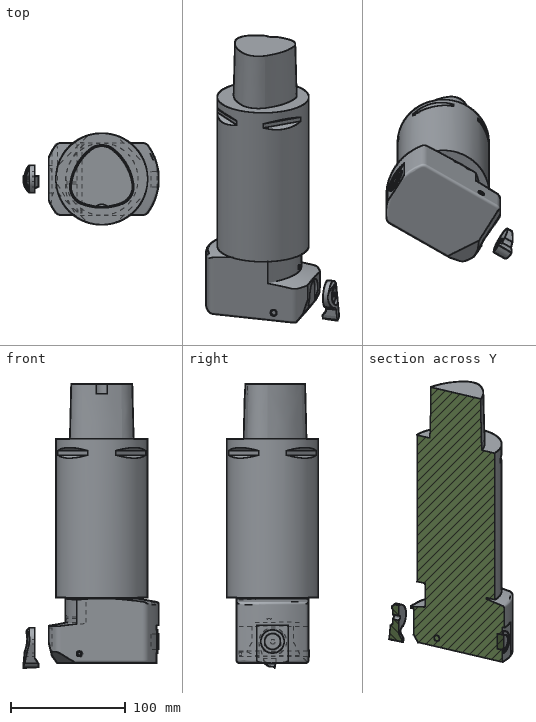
import cadquery as cq
import math


BARREL_DIAMETER = 80.0
BARREL_BOTTOM = 57.0
BARREL_TOP = 195.5
GROOVE_COUNT = 4
GROOVE_Z = 183.3
GROOVE_DEPTH = 4.5
GROOVE_FLOOR_HEIGHT = 3.7
GROOVE_MOUTH_HEIGHT = 9.2

SHANK_LENGTH = 48.0
SHANK_LOBE_REACH = 29.8
SHANK_FLANK_REACH = 25.3
SHANK_LOBE_RADIUS = 16.4
SHANK_TAPER = 1 / 40
KEY_NOTCH_DIAMETER = 14.0
KEY_NOTCH_OFFSET = 29.0
KEY_NOTCH_DEPTH = 8.7

HEAD_WIDTH = 63.0
HEAD_RADIUS = 49.8
HEAD_CORNER_RADIUS = 6.2
HEAD_EDGE_RADIUS = 2.5
HEAD_NOSE_X = -46.5
HEAD_RIM_Z = 53.0
LEDGE_RIM_Z = 32.0
TOP_ANGLE = 10
NECK_DIAMETER = HEAD_WIDTH
NECK_FACE_START_X = -21.8
NECK_FACE_X = -32.0
NECK_FACE_Y = -3.5
NECK_FACE_END_X = -14.1
NECK_ROOT_RADIUS = 0.7
SCREW_FLAT_X = 47.9
SCREW_FLAT_TOP = 33.0

NOSE_RELIEF_TOP = 18.0
NOSE_RELIEF_KNEE = (-43.6, 6.7)
NOSE_RELIEF_FOOT_X = -39.0
CORNER_RELIEF_SIDE_X = -22.3
CORNER_RELIEF_END = (-39.0, -4.2)
CORNER_RELIEF_ANGLE = 35

OUTLET_Y = -3.2
OUTLET_Z = 39.7
OUTLET_MOUTH_DIAMETER = 4.0
OUTLET_MOUTH_DEPTH = 1.2
OUTLET_BORE_DIAMETER = 1.5
OUTLET_BORE_DEPTH = 10.0

INSERT_DIAMETER = 24.0
INSERT_Z = 18.8
INSERT_BACK_X = -58.3
INSERT_RIM_X = -63.2
INSERT_TIP_X = -68.7
INSERT_TIP_Z = -4.5
INSERT_CREST_TILT = 5.4
INSERT_CREST_RADIUS = 22.3
INSERT_RIM_CONE_ANGLE = 45
INSERT_HOLE_DIAMETER = 4.0
INSERT_RECESS_DIAMETER = 14.0
INSERT_RECESS_FLOOR_X = -64.7
INSERT_RECESS_HALF_ANGLE = 40
FOOT_BACK_X = -55.0
FOOT_TOP_Z = 4.2
FOOT_HEEL_Z = -0.5
FOOT_BOTTOM_Z = -3.7
LEG_EDGE_Y = 2.7
LEG_BLEND_TOP_ANGLE = -55
LEG_BLEND_MIDDLE = (4.0, 8.0)
LEG_BLEND_FOOT_Z = 6.0
LEG_TOOTH_TOP_Z = 0
LEG_TOOTH_Y = 2.0
LEG_TOOTH_BACK = (1.7, -3.5)
LEG_TOE_START = (-1.5, -3.2)
LEG_TOE_MIDDLE = (-4.5, -2.2)
LEG_TOE_END = (-7.0, 0)
LEG_FLANK_TOP_ANGLE = 195
SEAT_DEPTH = 3.0

CLAMP_FLANGE_DIAMETER = 20.3
CLAMP_FLANGE_HEIGHT = 1.0
CLAMP_CAP_DIAMETER = 14.0
CLAMP_CAP_HEIGHT = 1.7
CLAMP_STEM_LENGTH = 5.0

CROSS_X = -19.5
CROSS_Z = 8.2
CROSS_DIAMETER = 4.7
CROSS_SOCKET_DIAMETER = 2.7
CROSS_SOCKET_DEPTH = 2.5
CROSS_SINK = 2.0
CROSS_HEAD_DIAMETER = 5.7
CROSS_HEAD_HEIGHT = 0.7

BARREL_RADIUS = BARREL_DIAMETER / 2
SHANK_TOP = BARREL_TOP + SHANK_LENGTH
HALF_WIDTH = HEAD_WIDTH / 2
INSERT_RADIUS = INSERT_DIAMETER / 2
TOP_SLOPE = math.tan(math.radians(TOP_ANGLE))
LOBE_CENTRE = SHANK_LOBE_REACH - SHANK_LOBE_RADIUS
FLANK_GAP = SHANK_FLANK_REACH - SHANK_LOBE_RADIUS
FLANK_CENTRE = (LOBE_CENTRE**2 - FLANK_GAP**2) / (2 * FLANK_GAP - LOBE_CENTRE)
CLEAR = 74.5


def x_cylinder(diameter, x_start, length, y=0, z=0):
    """Cylinder along X that starts at x_start and runs towards +X for the given length."""
    plane = cq.Plane(origin=(x_start, y, z), xDir=(0, 1, 0), normal=(1, 0, 0))
    return cq.Workplane(plane).circle(diameter / 2).extrude(length)


def gripper_groove():
    """Trapezoid bar that cuts one groove in the +X side of the barrel."""
    floor_x = BARREL_RADIUS - GROOVE_DEPTH
    half_floor = GROOVE_FLOOR_HEIGHT / 2
    half_mouth = GROOVE_MOUTH_HEIGHT / 2
    section = [
        (floor_x, GROOVE_Z - half_floor),
        (BARREL_RADIUS, GROOVE_Z - half_mouth),
        (BARREL_RADIUS, GROOVE_Z + half_mouth),
        (floor_x, GROOVE_Z + half_floor),
    ]
    return cq.Workplane("XZ").polyline(section).close().extrude(BARREL_RADIUS, both=True)


def make_barrel():
    length = BARREL_TOP - BARREL_BOTTOM
    barrel = cq.Workplane("XY").workplane(offset=BARREL_BOTTOM).circle(BARREL_RADIUS).extrude(length)
    pitch = 360 / GROOVE_COUNT
    for i in range(GROOVE_COUNT):
        barrel = barrel.cut(gripper_groove().rotate((0, 0, 0), (0, 0, 1), pitch * (i + 0.5)))
    return barrel


def polar_point(centre_distance, centre_angle, radius, angle, z):
    """Point on a circle whose centre is given by its distance and angle from the axis."""
    a = math.radians(centre_angle)
    b = math.radians(angle)
    x = centre_distance * math.cos(a) + radius * math.cos(b)
    y = centre_distance * math.sin(a) + radius * math.sin(b)
    return cq.Vector(x, y, z)


def lobed_wire(inset, z):
    """Closed curve of three lobe arcs and three flank arcs, one lobe towards +Y, at a given inset."""
    lobe_side = LOBE_CENTRE * math.sin(math.radians(60))
    lobe_drop = LOBE_CENTRE * math.cos(math.radians(60)) + FLANK_CENTRE
    flank_half_angle = math.degrees(math.atan2(lobe_side, lobe_drop))
    lobe_radius = SHANK_LOBE_RADIUS - inset
    flank_radius = SHANK_FLANK_REACH + FLANK_CENTRE - inset
    edges = []
    for lobe_angle in (90, 210, 330):
        flank_angle = lobe_angle + 60
        lobe_start = lobe_angle - 60 + flank_half_angle
        lobe_end = flank_angle - flank_half_angle
        flank_end = flank_angle + flank_half_angle
        lobe = []
        for angle in (lobe_start, lobe_angle, lobe_end):
            lobe.append(polar_point(LOBE_CENTRE, lobe_angle, lobe_radius, angle, z))
        flank = []
        for angle in (lobe_end, flank_angle, flank_end):
            flank.append(polar_point(FLANK_CENTRE, flank_angle - 180, flank_radius, angle, z))
        edges.append(cq.Edge.makeThreePointArc(*lobe))
        edges.append(cq.Edge.makeThreePointArc(*flank))
    return cq.Wire.assembleEdges(edges)


def make_shank():
    wires = [lobed_wire(0, BARREL_TOP), lobed_wire(SHANK_LENGTH * SHANK_TAPER, SHANK_TOP)]
    shank = cq.Workplane(cq.Solid.makeLoft(wires, True))
    notch = cq.Workplane("XY").workplane(offset=SHANK_TOP - KEY_NOTCH_DEPTH)
    notch = notch.center(0, -KEY_NOTCH_OFFSET).circle(KEY_NOTCH_DIAMETER / 2).extrude(KEY_NOTCH_DEPTH)
    return shank.cut(notch)


def above_ledge():
    """Everything over the conical ledge, up to the barrel."""
    apex_z = LEDGE_RIM_Z + HEAD_RADIUS * TOP_SLOPE
    edge_z = apex_z - CLEAR * TOP_SLOPE
    outline = [(0, apex_z), (CLEAR, edge_z), (CLEAR, BARREL_BOTTOM), (0, BARREL_BOTTOM)]
    return cq.Workplane("XZ").polyline(outline).close().revolve(360, (0, 0, 0), (0, 1, 0))


def above_head():
    """Everything over the conical top of the head and its rounded rim."""
    angle = math.radians(TOP_ANGLE)
    apex_z = HEAD_RIM_Z + HEAD_RADIUS * TOP_SLOPE
    centre_r = HEAD_RADIUS - HEAD_EDGE_RADIUS
    centre_z = HEAD_RIM_Z + HEAD_EDGE_RADIUS * (TOP_SLOPE - 1 / math.cos(angle))
    half_way = (math.pi / 2 - angle) / 2
    arc_points = []
    for turn in (math.pi / 2 - angle, half_way):
        r = centre_r + HEAD_EDGE_RADIUS * math.cos(turn)
        z = centre_z + HEAD_EDGE_RADIUS * math.sin(turn)
        arc_points.append((r, z))
    return (
        cq.Workplane("XZ")
        .moveTo(0, apex_z)
        .lineTo(*arc_points[0])
        .threePointArc(arc_points[1], (HEAD_RADIUS, centre_z))
        .lineTo(CLEAR, centre_z)
        .lineTo(CLEAR, CLEAR)
        .lineTo(0, CLEAR)
        .close()
        .revolve(360, (0, 0, 0), (0, 1, 0))
    )


def head_block():
    """Round-ended block with a flat nose, rounded corners and a conical top."""
    block = cq.Workplane("XY").circle(HEAD_RADIUS).extrude(BARREL_BOTTOM)
    block = block.intersect(cq.Workplane("XY").box(2 * CLEAR, HEAD_WIDTH, 2 * CLEAR))
    block = block.edges("|Z").fillet(HEAD_CORNER_RADIUS)
    block = block.faces("<Z").edges().fillet(HEAD_EDGE_RADIUS)
    block = block.cut(above_head())
    nose = cq.Workplane("XY").box(CLEAR, 2 * CLEAR, 2 * CLEAR).translate((HEAD_NOSE_X - CLEAR / 2, 0, 0))
    return block.cut(nose)


def ledge_cut():
    """Space above the nose, bounded by the curved neck face and a conical ledge."""
    space = (
        cq.Workplane("XY")
        .moveTo(NECK_FACE_START_X, -HALF_WIDTH)
        .threePointArc((NECK_FACE_X, NECK_FACE_Y), (NECK_FACE_END_X, HALF_WIDTH))
        .lineTo(-CLEAR, HALF_WIDTH)
        .lineTo(-CLEAR, -HALF_WIDTH)
        .close()
        .extrude(BARREL_BOTTOM)
    )
    space = space.intersect(above_ledge())
    neck_face = space.faces(cq.selectors.NearestToPointSelector((NECK_FACE_X, NECK_FACE_Y, BARREL_BOTTOM)))
    return neck_face.edges("<Z").fillet(NECK_ROOT_RADIUS)


def nose_relief():
    """Two sloping faces below the nose, across the whole width."""
    outline = [
        (HEAD_NOSE_X, NOSE_RELIEF_TOP),
        NOSE_RELIEF_KNEE,
        (NOSE_RELIEF_FOOT_X, 0),
        (-CLEAR, 0),
        (-CLEAR, NOSE_RELIEF_TOP),
    ]
    return cq.Workplane("XZ").polyline(outline).close().extrude(CLEAR, both=True)


def corner_relief():
    """Sloping face that rises from the underside towards the -X -Y corner."""
    end_x, end_y = CORNER_RELIEF_END
    along = cq.Vector(end_x - CORNER_RELIEF_SIDE_X, end_y + HALF_WIDTH, 0)
    outward = cq.Vector(-along.y, along.x, 0)
    plane = cq.Plane(origin=(CORNER_RELIEF_SIDE_X, -HALF_WIDTH, 0), xDir=outward, normal=along)
    rise = CLEAR * math.tan(math.radians(CORNER_RELIEF_ANGLE))
    wedge = cq.Workplane(plane).polyline([(0, 0), (CLEAR, 0), (CLEAR, rise)]).close()
    return wedge.extrude(CLEAR, both=True)


def insert_seat():
    """Shallow recess in the nose: a round top that runs straight down on the -Y side."""
    plane = cq.Plane(origin=(HEAD_NOSE_X, 0, 0), xDir=(0, 1, 0), normal=(1, 0, 0))
    round_part = cq.Workplane(plane).center(0, INSERT_Z).circle(INSERT_RADIUS).extrude(SEAT_DEPTH)
    leg_width = INSERT_RADIUS + LEG_EDGE_Y
    leg_part = (
        cq.Workplane(plane)
        .center(LEG_EDGE_Y - leg_width / 2, INSERT_Z / 2)
        .rect(leg_width, INSERT_Z)
        .extrude(SEAT_DEPTH)
    )
    return round_part.union(leg_part)


def coolant_outlet():
    """Small bore with a wider mouth."""
    start = HEAD_NOSE_X
    mouth_length = NECK_FACE_X + OUTLET_MOUTH_DEPTH - start
    mouth = x_cylinder(OUTLET_MOUTH_DIAMETER, start, mouth_length, OUTLET_Y, OUTLET_Z)
    bore = x_cylinder(OUTLET_BORE_DIAMETER, NECK_FACE_X, OUTLET_BORE_DEPTH, OUTLET_Y, OUTLET_Z)
    return mouth.union(bore)


def make_head():
    head = head_block()
    neck = cq.Workplane("XY").workplane(offset=BARREL_BOTTOM).circle(NECK_DIAMETER / 2)
    head = head.union(neck.extrude(SCREW_FLAT_TOP - BARREL_BOTTOM))
    for cut in (ledge_cut(), nose_relief(), corner_relief(), insert_seat(), coolant_outlet()):
        head = head.cut(cut)
    flat = cq.Workplane("XY").box(CLEAR, 2 * CLEAR, SCREW_FLAT_TOP, centered=(False, True, False))
    return head.cut(flat.translate((SCREW_FLAT_X, 0, 0)))


def make_holder():
    holder = make_barrel().union(make_shank()).union(make_head())
    for recess in (clamp_screw(), cross_hole()):
        holder = holder.cut(recess)
    return holder


def clamp_screw():
    flange = x_cylinder(CLAMP_FLANGE_DIAMETER, SCREW_FLAT_X, CLAMP_FLANGE_HEIGHT, z=INSERT_Z)
    stem_length = CLAMP_STEM_LENGTH + CLAMP_CAP_HEIGHT
    stem = x_cylinder(CLAMP_CAP_DIAMETER, SCREW_FLAT_X - CLAMP_STEM_LENGTH, stem_length, z=INSERT_Z)
    return flange.union(stem)


def y_cylinder(diameter, y_start, y_end):
    """Cylinder on the axis of the cross screw."""
    plane = cq.Plane(origin=(CROSS_X, y_start, CROSS_Z), xDir=(1, 0, 0), normal=(0, 1, 0))
    return cq.Workplane(plane).circle(diameter / 2).extrude(y_end - y_start)


def cross_hole():
    return y_cylinder(CROSS_DIAMETER, -HALF_WIDTH, HALF_WIDTH)


def cross_screw():
    socket_end = -HALF_WIDTH + CROSS_SINK
    stem = y_cylinder(CROSS_DIAMETER, socket_end, HALF_WIDTH)
    head = y_cylinder(CROSS_HEAD_DIAMETER, HALF_WIDTH, HALF_WIDTH + CROSS_HEAD_HEIGHT)
    socket = y_cylinder(CROSS_SOCKET_DIAMETER, socket_end, socket_end + CROSS_SOCKET_DEPTH)
    return stem.union(head).cut(socket)


def insert_rim_point(angle):
    """Point in Y and Z on the edge of the round body."""
    a = math.radians(angle)
    return (INSERT_RADIUS * math.cos(a), INSERT_Z + INSERT_RADIUS * math.sin(a))


def insert_outline():
    """Round body with a narrow leg that ends in a pointed tooth, drawn in Y and Z."""
    blend_top = insert_rim_point(LEG_BLEND_TOP_ANGLE)
    return (
        cq.Workplane("YZ")
        .moveTo(*blend_top)
        .threePointArc(insert_rim_point(90), insert_rim_point(LEG_FLANK_TOP_ANGLE))
        .lineTo(*LEG_TOE_END)
        .threePointArc(LEG_TOE_MIDDLE, LEG_TOE_START)
        .lineTo(*LEG_TOOTH_BACK)
        .lineTo(LEG_TOOTH_Y, INSERT_TIP_Z)
        .lineTo(LEG_EDGE_Y, LEG_TOOTH_TOP_Z)
        .lineTo(LEG_EDGE_Y, LEG_BLEND_FOOT_Z)
        .threePointArc(LEG_BLEND_MIDDLE, blend_top)
        .close()
    )


def insert_side_profile():
    """Side outline in X and Z with the heel that widens the foot of the leg."""
    top = INSERT_Z + INSERT_RADIUS
    outline = [
        (INSERT_TIP_X, INSERT_TIP_Z),
        (FOOT_BACK_X, FOOT_BOTTOM_Z),
        (FOOT_BACK_X, FOOT_HEEL_Z),
        (INSERT_BACK_X, FOOT_TOP_Z),
        (INSERT_BACK_X, top),
        (INSERT_TIP_X, top),
    ]
    return cq.Workplane("XZ").polyline(outline).close().extrude(INSERT_RADIUS, both=True)


def insert_crest():
    """Leaning cylinder whose front line is the crest of the insert."""
    crest = cq.Workplane("XY").circle(INSERT_CREST_RADIUS).extrude(CLEAR, both=True)
    crest = crest.translate((INSERT_CREST_RADIUS, 0, 0)).rotate((0, 0, 0), (0, 1, 0), INSERT_CREST_TILT)
    return crest.translate((INSERT_TIP_X, 0, INSERT_TIP_Z))


def rim_bevel():
    """Space in front of a cone that bevels the upper half of the round body."""
    slope = math.tan(math.radians(INSERT_RIM_CONE_ANGLE))
    apex_x = INSERT_RIM_X - INSERT_RADIUS * slope
    rim_x = INSERT_RIM_X
    outline = [(apex_x, 0), (rim_x, INSERT_RADIUS), (rim_x, CLEAR), (-2 * CLEAR, CLEAR), (-2 * CLEAR, 0)]
    space = cq.Workplane("XY").polyline(outline).close().revolve(360, (0, 0, 0), (1, 0, 0))
    upper_half = cq.Workplane("XY").box(4 * CLEAR, 2 * CLEAR, CLEAR, centered=(True, True, False))
    return space.intersect(upper_half).translate((0, 0, INSERT_Z))


def insert_recess():
    """Conical recess with a flat floor and a through hole."""
    floor_x = INSERT_RECESS_FLOOR_X
    floor_radius = INSERT_RECESS_DIAMETER / 2
    mouth_x = 2 * INSERT_TIP_X - floor_x
    flare = (floor_x - mouth_x) * math.tan(math.radians(INSERT_RECESS_HALF_ANGLE))
    outline = [(floor_x, 0), (floor_x, floor_radius), (mouth_x, floor_radius + flare), (mouth_x, 0)]
    recess = cq.Workplane("XY").polyline(outline).close().revolve(360, (0, 0, 0), (1, 0, 0))
    hole = x_cylinder(INSERT_HOLE_DIAMETER, mouth_x, INSERT_BACK_X - mouth_x, z=INSERT_Z)
    return recess.translate((0, 0, INSERT_Z)).union(hole)


def cutting_insert():
    insert = insert_outline().extrude(-CLEAR)
    insert = insert.intersect(insert_side_profile()).intersect(insert_crest())
    return insert.cut(rim_bevel()).cut(insert_recess())


holder = make_holder()
insert = cutting_insert()
clamp = clamp_screw()
cross = cross_screw()
result = cq.Compound.makeCompound([holder.val(), insert.val(), clamp.val(), cross.val()])